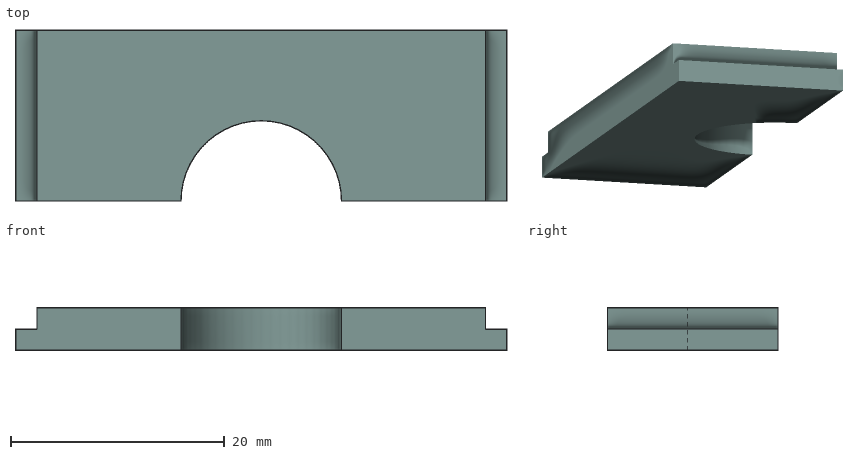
import cadquery as cq

length = 46.0
width = 16.0
thickness = 4.0

ledge_length = 2.0
ledge_thickness = 2.0

notch_radius = 7.5


def make_plate():
    """Full-length lower layer with a shorter upper layer, leaving a ledge at each end."""
    base = cq.Workplane("XY").box(length, width, ledge_thickness, centered=(True, True, False))
    upper = (
        cq.Workplane("XY")
        .workplane(offset=ledge_thickness)
        .box(
            length - 2 * ledge_length,
            width,
            thickness - ledge_thickness,
            centered=(True, True, False),
        )
    )
    return base.union(upper).clean()


def make_notch():
    """Cylinder that cuts the notch through the whole thickness."""
    return cq.Workplane("XY").center(0, -width / 2).circle(notch_radius).extrude(thickness)


result = make_plate().cut(make_notch())